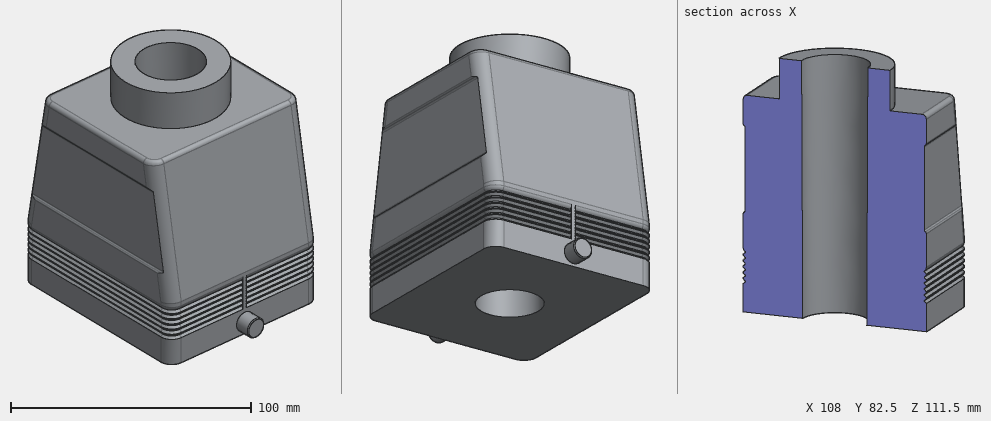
import cadquery as cq
import math

BODY_LENGTH = 93.7
BODY_WIDTH = 82.5
BODY_HEIGHT = 94.0
SKIRT_HEIGHT = 30.0
SIDE_LEAN = 10.0
CORNER_RADIUS = 6.0
TOP_EDGE_RADIUS = 2.0

TOTAL_HEIGHT = 111.5
COLLAR_DIAMETER = 50.1
BORE_TOP_DIAMETER = 29.8
BORE_BOTTOM_DIAMETER = 28.8

PANEL_DEPTH = 0.9
PANEL_BOTTOM = 42.5
PANEL_TOP = 81.5
PANEL_EDGE_HEIGHT = 1.6

GROOVE_COUNT = 6
GROOVE_DEPTH = 1.0
FIRST_GROOVE_HEIGHT = 13.4
LAST_GROOVE_HEIGHT = 26.1
GROOVE_PITCH = (LAST_GROOVE_HEIGHT - FIRST_GROOVE_HEIGHT) / (GROOVE_COUNT - 1)
GRIP_TOP = 28.0
RIB_FLAT = 0.5
BRIDGE_WIDTH = 1.9

PIN_SPAN = 108.0
PIN_DIAMETER = 9.1
PIN_HEIGHT = 5.9
PIN_CHAMFER = 0.5

CUT_MARGIN = 1.1
HALF_LENGTH = BODY_LENGTH / 2
HALF_WIDTH = BODY_WIDTH / 2


def make_body():
    """Solid body with rounded corners and top edge."""
    lean_run = (BODY_HEIGHT - SKIRT_HEIGHT) * math.tan(math.radians(SIDE_LEAN))
    top_half_length = HALF_LENGTH - lean_run
    outline = [
        (-HALF_LENGTH, 0),
        (HALF_LENGTH, 0),
        (HALF_LENGTH, SKIRT_HEIGHT),
        (top_half_length, BODY_HEIGHT),
        (-top_half_length, BODY_HEIGHT),
        (-HALF_LENGTH, SKIRT_HEIGHT),
    ]
    body = cq.Workplane("XZ").polyline(outline).close().extrude(HALF_WIDTH, both=True)
    body = body.edges("not (#Z or |Y)").fillet(CORNER_RADIUS)
    return body.faces(">Z").edges().fillet(TOP_EDGE_RADIUS)


def make_panel_cutter():
    """Cutter for the panel on the -Y face, running right across the body."""
    face = -HALF_WIDTH
    floor = face + PANEL_DEPTH
    outside = face - CUT_MARGIN
    middle = face + PANEL_DEPTH / 2
    turn = 2 * math.atan(PANEL_DEPTH / PANEL_EDGE_HEIGHT)
    radius = PANEL_EDGE_HEIGHT / (2 * math.sin(turn))
    half_sine = radius * math.sin(turn / 2)
    half_sag = radius * (1 - math.cos(turn / 2))
    step = PANEL_EDGE_HEIGHT
    profile = (
        cq.Workplane("YZ")
        .moveTo(outside, PANEL_BOTTOM)
        .lineTo(face, PANEL_BOTTOM)
        .threePointArc((face + half_sag, PANEL_BOTTOM + half_sine), (middle, PANEL_BOTTOM + step / 2))
        .threePointArc((floor - half_sag, PANEL_BOTTOM + step - half_sine), (floor, PANEL_BOTTOM + step))
        .lineTo(floor, PANEL_TOP - step)
        .threePointArc((floor - half_sag, PANEL_TOP - step + half_sine), (middle, PANEL_TOP - step / 2))
        .threePointArc((face + half_sag, PANEL_TOP - half_sine), (face, PANEL_TOP))
        .lineTo(outside, PANEL_TOP)
        .close()
    )
    return profile.extrude(HALF_LENGTH, both=True)


def make_skirt_path():
    """Closed outline of the skirt, starting at the middle of the -Y face."""
    straight_x = HALF_LENGTH - CORNER_RADIUS
    straight_y = HALF_WIDTH - CORNER_RADIUS
    diagonal = CORNER_RADIUS * math.sqrt(0.5)
    return (
        cq.Workplane("XY")
        .moveTo(0, -HALF_WIDTH)
        .lineTo(straight_x, -HALF_WIDTH)
        .threePointArc((straight_x + diagonal, -straight_y - diagonal), (HALF_LENGTH, -straight_y))
        .lineTo(HALF_LENGTH, straight_y)
        .threePointArc((straight_x + diagonal, straight_y + diagonal), (straight_x, HALF_WIDTH))
        .lineTo(-straight_x, HALF_WIDTH)
        .threePointArc((-straight_x - diagonal, straight_y + diagonal), (-HALF_LENGTH, straight_y))
        .lineTo(-HALF_LENGTH, -straight_y)
        .threePointArc((-straight_x - diagonal, -straight_y - diagonal), (-straight_x, -HALF_WIDTH))
        .close()
    )


def make_groove(index):
    """V-groove cutter swept around the skirt; the top one has a rounded upper lip."""
    centre = FIRST_GROOVE_HEIGHT + index * GROOVE_PITCH
    half_mouth = (GROOVE_PITCH - RIB_FLAT) / 2
    face = -HALF_WIDTH
    root = face + GROOVE_DEPTH
    outside = face - CUT_MARGIN
    profile = (
        cq.Workplane("YZ")
        .moveTo(outside, centre - half_mouth)
        .lineTo(face, centre - half_mouth)
        .lineTo(root, centre)
    )
    if index == GROOVE_COUNT - 1:
        rise = GRIP_TOP - centre
        turn = 2 * math.atan(GROOVE_DEPTH / rise)
        radius = rise / math.sin(turn)
        arc_middle = (
            face + radius * (1 - math.cos(turn / 2)),
            GRIP_TOP - radius * math.sin(turn / 2),
        )
        profile = profile.threePointArc(arc_middle, (face, GRIP_TOP)).lineTo(outside, GRIP_TOP)
    else:
        profile = profile.lineTo(face, centre + half_mouth).lineTo(outside, centre + half_mouth)
    return profile.close().sweep(make_skirt_path())


def make_pins():
    """One pin through the full span, with a small chamfer at each end."""
    radius = PIN_DIAMETER / 2
    half_span = PIN_SPAN / 2
    shoulder = half_span - PIN_CHAMFER
    end_radius = radius - PIN_CHAMFER
    outline = [
        (-half_span, 0),
        (-half_span, end_radius),
        (-shoulder, radius),
        (shoulder, radius),
        (half_span, end_radius),
        (half_span, 0),
    ]
    pins = cq.Workplane("XY").polyline(outline).close().revolve(360, (0, 0), (1, 0))
    return pins.translate((0, 0, PIN_HEIGHT))


body = make_body()

panel_cutter = make_panel_cutter()
body = body.cut(panel_cutter).cut(panel_cutter.mirror("XZ"))

for groove_index in range(GROOVE_COUNT):
    body = body.cut(make_groove(groove_index))

bridges = cq.Workplane("XY").box(BODY_LENGTH, BRIDGE_WIDTH, GRIP_TOP, centered=(True, True, False))
collar = cq.Workplane("XY").circle(COLLAR_DIAMETER / 2).extrude(TOTAL_HEIGHT)
bore = (
    cq.Workplane("XY")
    .circle(BORE_BOTTOM_DIAMETER / 2)
    .workplane(offset=TOTAL_HEIGHT)
    .circle(BORE_TOP_DIAMETER / 2)
    .loft()
)

result = body.union(bridges).union(collar).union(make_pins()).cut(bore)